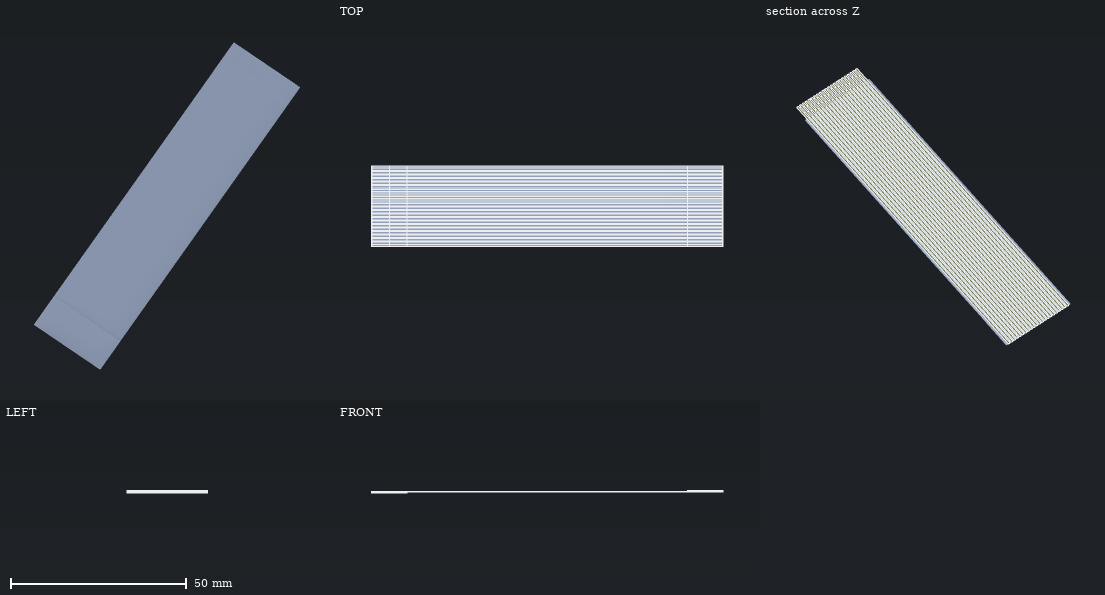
import cadquery as cq

LENGTH = 100.0
WIDTH = 23.0
THICKNESS = 0.59

CONDUCTOR_COUNT = 22
PITCH = 1.0
CONDUCTOR_WIDTH = 0.7
CONDUCTOR_THICKNESS = 0.05

FILM_THICKNESS = 0.045
EXPOSED_LENGTH = 5.0
STIFFENER_LENGTH = 10.0

CONDUCTOR_TOP = CONDUCTOR_THICKNESS / 2
FILM_TOP = CONDUCTOR_TOP + FILM_THICKNESS
STIFFENER_TOP = THICKNESS / 2


def layer(x_start, x_end, z_bottom, z_top, width=WIDTH, y_center=0.0):
    """Flat rectangular strip running along X."""
    return (
        cq.Workplane("XY")
        .box(x_end - x_start, width, z_top - z_bottom, centered=(False, True, False))
        .translate((x_start, y_center, z_bottom))
    )


def films():
    """Upper and lower films, each leaving the conductors bare at one end."""
    upper = layer(EXPOSED_LENGTH, LENGTH, CONDUCTOR_TOP, FILM_TOP)
    lower = layer(0, LENGTH - EXPOSED_LENGTH, -FILM_TOP, -CONDUCTOR_TOP)
    return upper.add(lower)


def conductors():
    """Parallel conductors between the films, with open gaps between neighbours."""
    strips = cq.Workplane("XY")
    first_y = -PITCH * (CONDUCTOR_COUNT - 1) / 2
    for index in range(CONDUCTOR_COUNT):
        y_center = first_y + index * PITCH
        strips.add(layer(0, LENGTH, -CONDUCTOR_TOP, CONDUCTOR_TOP, CONDUCTOR_WIDTH, y_center))
    return strips


def stiffeners():
    """Backing strips behind the bare contacts: below at the left end, above at the right."""
    left = layer(0, STIFFENER_LENGTH, -STIFFENER_TOP, -FILM_TOP)
    right = layer(LENGTH - STIFFENER_LENGTH, LENGTH, FILM_TOP, STIFFENER_TOP)
    return left.add(right)


result = films().add(conductors()).add(stiffeners()).combine()